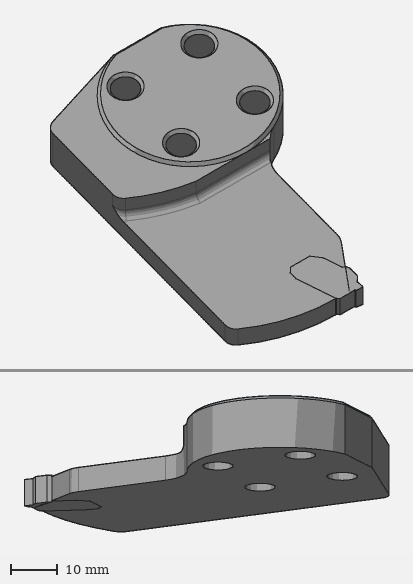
import cadquery as cq
import math

blade_height = 5.4
shoulder_height = 11.0
cap_height = 11.7
cap_chamfer = cap_height - shoulder_height

disc_radius = 20.0
flat_x = -18.95
flat_half_length = math.sqrt(disc_radius**2 - flat_x**2)

hole_diameter = 6.5
hole_countersink = 0.7
countersink_angle = 90
bolt_circle_diameter = 28.05
bolt_spacing = bolt_circle_diameter / math.sqrt(2)

bottom_y = -30.0
top_y = 4.5
side_taper_angle = 18
side_corner_x = flat_x + (-flat_half_length - bottom_y) * math.tan(math.radians(side_taper_angle))
corner_radius = 3.0
neck_radius = 8.5
nose_corner_x = 47.7
nose_angle = math.radians(30)
nose_radius = 5.0

end_radius = 44.3
end_center_x = 16.3
end_center_y = -6.45
shoulder_offset = 40.05
shoulder_x = disc_radius
step_fillet = 1.7

insert_overhang = 0.3
head_top_y = 0.9
head_relief_end_y = -2.9

MARGIN = 8.1


def end_x(y):
    """X of the curved blade end at a given Y."""
    return end_center_x + math.sqrt(end_radius**2 - (y - end_center_y) ** 2)


def end_y(x):
    """Y of the lower half of the curved blade end at a given X."""
    return end_center_y - math.sqrt(end_radius**2 - (x - end_center_x) ** 2)


def nose_tip():
    """Point where the sloping nose line meets the curved end."""
    direction_x = math.cos(nose_angle)
    direction_y = -math.sin(nose_angle)
    from_center_x = nose_corner_x - end_center_x
    from_center_y = top_y - end_center_y
    along = from_center_x * direction_x + from_center_y * direction_y
    distance_squared = from_center_x**2 + from_center_y**2
    length = -along + math.sqrt(along**2 - distance_squared + end_radius**2)
    return (nose_corner_x + length * direction_x, top_y + length * direction_y)


def make_disc(height):
    """Round disc with one side cut flat."""
    far_point = (disc_radius, 0)
    return (
        cq.Workplane("XY")
        .moveTo(flat_x, -flat_half_length)
        .threePointArc(far_point, (flat_x, flat_half_length))
        .close()
        .extrude(height)
    )


def make_profile():
    """Full outline of the holder, at shoulder height."""
    neck_center_y = top_y + neck_radius
    center_distance = disc_radius + neck_radius
    neck_center_x = math.sqrt(center_distance**2 - neck_center_y**2)
    tangent_scale = disc_radius / center_distance
    neck_start = (neck_center_x * tangent_scale, neck_center_y * tangent_scale)
    neck_angle = (math.atan2(-neck_center_y, -neck_center_x) - math.pi / 2) / 2
    neck_middle = (
        neck_center_x + neck_radius * math.cos(neck_angle),
        neck_center_y + neck_radius * math.sin(neck_angle),
    )
    tip = nose_tip()
    middle_y = (tip[1] + bottom_y) / 2
    return (
        cq.Workplane("XY")
        .moveTo(flat_x, -flat_half_length)
        .lineTo(flat_x, flat_half_length)
        .threePointArc((0, disc_radius), neck_start)
        .threePointArc(neck_middle, (neck_center_x, top_y))
        .lineTo(nose_corner_x, top_y)
        .lineTo(*tip)
        .threePointArc((end_x(middle_y), middle_y), (end_x(bottom_y), bottom_y))
        .lineTo(side_corner_x, bottom_y)
        .close()
        .extrude(shoulder_height)
    )


def upright_edge(body, x, y, z):
    """Select the vertical edge that stands nearest to a point."""
    return body.edges("|Z").edges(cq.NearestToPointSelector((x, y, z)))


def round_outline(body):
    """Round the two lower corners and the nose corner."""
    middle_z = shoulder_height / 2
    for x, y, radius in (
        (side_corner_x, bottom_y, corner_radius),
        (end_x(bottom_y), bottom_y, corner_radius),
        (nose_corner_x, top_y, nose_radius),
    ):
        body = upright_edge(body, x, y, middle_z).fillet(radius)
    return body


def cut_step(body):
    """Lower the blade with a cutter whose rounded lower edge blends the shoulder wall."""
    curve_start_y = end_y(shoulder_x + shoulder_offset)
    curve_end_x = end_x(bottom_y) - shoulder_offset
    middle_y = (curve_start_y + bottom_y) / 2
    curve_middle = (end_x(middle_y) - shoulder_offset, middle_y)
    far_x = end_center_x + end_radius + MARGIN
    cutter = (
        cq.Workplane("XY", origin=(0, 0, blade_height))
        .moveTo(shoulder_x, disc_radius)
        .lineTo(shoulder_x, curve_start_y)
        .threePointArc(curve_middle, (curve_end_x, bottom_y))
        .lineTo(curve_end_x - MARGIN, bottom_y)
        .lineTo(curve_end_x - MARGIN, bottom_y - MARGIN)
        .lineTo(far_x, bottom_y - MARGIN)
        .lineTo(far_x, disc_radius)
        .close()
        .extrude(shoulder_height)
    )
    cutter = upright_edge(cutter, curve_end_x, bottom_y, blade_height).fillet(corner_radius)
    wall_foot = cutter.edges(cq.NearestToPointSelector((*curve_middle, blade_height)))
    straight_foot = cutter.edges(cq.NearestToPointSelector((shoulder_x, 0, blade_height)))
    cutter = wall_foot.add(straight_foot).fillet(step_fillet)
    return body.cut(cutter)


def make_cap():
    """Full-height mounting disc with a chamfered top."""
    return make_disc(cap_height).faces(">Z").chamfer(cap_chamfer)


def drill_holes(body):
    """Four through holes with countersunk mouths."""
    return (
        body.faces(">Z")
        .workplane(origin=(0, 0, cap_height))
        .rect(bolt_spacing, bolt_spacing, forConstruction=True)
        .vertices()
        .cskHole(hole_diameter, hole_diameter + 2 * hole_countersink, countersink_angle)
    )


def insert_outline():
    """Outline of the cutting insert, from its rear edge round to the tip."""
    return (
        cq.Workplane("XY", origin=(0, 0, -insert_overhang))
        .moveTo(47.7, -3.9)
        .lineTo(49.9, -1.8)
        .lineTo(54.4, -0.2)
        .lineTo(54.8, 0.4)
        .lineTo(55.8, head_top_y)
        .lineTo(58.5, head_top_y)
        .lineTo(59.65, -0.1)
        .lineTo(61.65, 0)
        .lineTo(61.5, -1.8)
        .lineTo(61.2, -1.8)
        .lineTo(61.2, -5.8)
        .lineTo(60.45, -6.5)
        .lineTo(51.0, -10.0)
        .lineTo(48.9, -10.0)
        .lineTo(47.7, -8.95)
        .close()
        .extrude(blade_height + 2 * insert_overhang)
    )


def make_insert():
    """Insert flush with the blade, with a head that thickens towards its upper edge."""
    tip = nose_tip()
    rear_x = nose_corner_x
    front_x = tip[0] + MARGIN
    front_y = top_y - (front_x - nose_corner_x) * math.tan(nose_angle)
    head_zone = (
        cq.Workplane("XY", origin=(0, 0, -insert_overhang))
        .polyline([(rear_x, top_y), (front_x, front_y), (front_x, top_y)])
        .close()
        .extrude(blade_height + 2 * insert_overhang)
    )
    relief = (
        cq.Workplane("YZ", origin=(rear_x, 0, 0))
        .polyline([
            (head_relief_end_y, 0),
            (head_top_y, -insert_overhang),
            (head_top_y, blade_height + insert_overhang),
            (head_relief_end_y, blade_height),
        ])
        .close()
        .extrude(front_x - rear_x)
    )
    body_zone = (
        cq.Workplane("XY")
        .box(front_x - rear_x + MARGIN, 4 * MARGIN, blade_height, centered=(False, True, False))
        .translate((rear_x - MARGIN / 2, 0, 0))
    )
    outline = insert_outline()
    head = outline.intersect(head_zone).intersect(relief)
    return outline.intersect(body_zone).union(head)


insert = make_insert()

holder = cut_step(round_outline(make_profile()))
holder = drill_holes(holder.union(make_cap()))
holder = holder.cut(insert_outline())

result = cq.Compound.makeCompound([holder.solids().val(), insert.solids().val()])